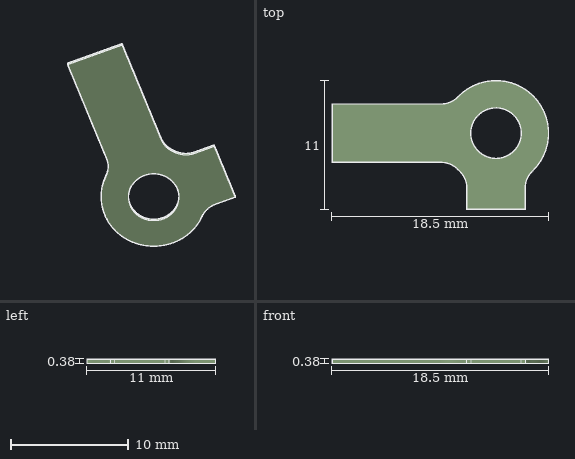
import cadquery as cq
import math

thickness = 0.38
hole_diameter = 4.3
ring_radius = 4.5
tab_width = 5.0
long_tab_reach = 14.0
short_tab_reach = 6.5
fillet_radius = 2.0

half_width = tab_width / 2

blend_across = half_width + fillet_radius
blend_along = math.sqrt((ring_radius + fillet_radius) ** 2 - blend_across**2)
ring_share = ring_radius / (ring_radius + fillet_radius)
touch_along = blend_along * ring_share
touch_across = blend_across * ring_share

mid_angle = (math.pi / 2 + math.atan2(blend_across, blend_along)) / 2
mid_along = blend_along - fillet_radius * math.cos(mid_angle)
mid_across = blend_across - fillet_radius * math.sin(mid_angle)

ring_diagonal = ring_radius * math.sqrt(0.5)


def make_outline():
    """Closed outline, clockwise from the upper corner of the long tab."""
    return (
        cq.Workplane("XY")
        .moveTo(-long_tab_reach, half_width)
        .lineTo(-blend_along, half_width)
        .threePointArc((-mid_along, mid_across), (-touch_along, touch_across))
        .threePointArc((ring_diagonal, ring_diagonal), (touch_across, -touch_along))
        .threePointArc((mid_across, -mid_along), (half_width, -blend_along))
        .lineTo(half_width, -short_tab_reach)
        .lineTo(-half_width, -short_tab_reach)
        .lineTo(-half_width, -blend_along)
        .threePointArc((-mid_across, -mid_along), (-touch_across, -touch_along))
        .threePointArc((-ring_diagonal, -ring_diagonal), (-touch_along, -touch_across))
        .threePointArc((-mid_along, -mid_across), (-blend_along, -half_width))
        .lineTo(-long_tab_reach, -half_width)
        .close()
    )


plate = make_outline().extrude(thickness)
result = plate.faces(">Z").workplane(origin=(0, 0, thickness)).hole(hole_diameter)